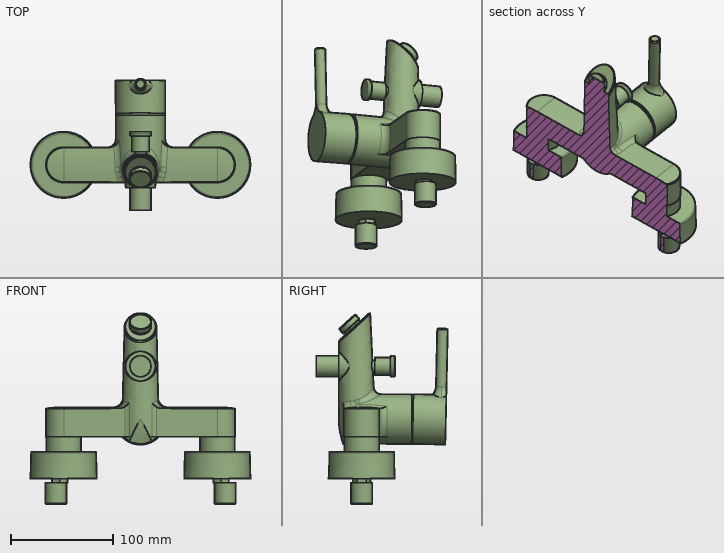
import cadquery as cq
import math


inlet_spacing = 150.0
pipe_dia = 34.3
flange_top_dia = 63.6
flange_dia = 64.95
flange_top_z = -31.7
flange_bottom_z = -58.2
flange_edge = 1.2
union_offset = 7.5
union_dia = 21.0
union_top_z = -62.1
union_bottom_z = -83.0
union_edge = 0.8
union_hex_across = 15.2

bar_width = 34.7
bar_edge = 0.6
bar_edge_stop_x = 30.0
bar_top_z = 10.4
bar_bottom_z = -17.5
bar_crown = 1.2

body_dia = 48.8
body_front_y = -14.0
body_front_round = 12.0
handle_gap_front_y = 48.6
handle_gap_back_y = 50.1
handle_gap_depth = 0.8
handle_back_y = 82.2
handle_tilt = 1.25

lever_dia = 10.6
lever_y = 76.9
lever_top_z = 89.0
lever_edge = 1.2
lever_flare_dia = 25.0
lever_flare_top_z = 32.0
lever_flare_waist_z = 26.0
lever_flare_waist_growth = 1.8

tower_front_y = -22.6
tower_base_dia = 35.8
tower_top_dia = 31.0
tower_top_z = 104.2
tower_front_top_z = 76.0
tower_toe_y = -18.0
tower_toe_bulge = 1.2
core_blend = 7.0
tower_rim = 1.1

button_dia = 21.5
button_neck_dia = 19.0
button_neck_height = 2.5
button_height = 8.4
button_edge = 0.5
button_shift = 2.0

spout_z = 51.5
spout_dia = 20.6
spout_tip_y = -44.5
collar_dia = 29.0
collar_back_y = -10.0
collar_back_dia = 31.4
knob_stem_dia = 11.5
knob_dia = 17.4
knob_rim_dia = 20.9
knob_front_y = 12.9
knob_rim_y = 28.0
knob_back_y = 32.5
knob_edge = 1.5

overlap = 1.0
pick_margin = 0.5

body_radius = body_dia / 2
tower_top_back_y = tower_front_y + tower_top_dia


def cylinder_z(x, y, z_low, z_high, dia):
    return cq.Workplane("XY").center(x, y).workplane(offset=z_low).circle(dia / 2).extrude(z_high - z_low)


def cylinder_y(z, y_front, y_back, dia):
    plane = cq.Plane(origin=(0, y_back, z), xDir=(1, 0, 0), normal=(0, -1, 0))
    return cq.Workplane(plane).circle(dia / 2).extrude(y_back - y_front)


def make_bar():
    crown_z = bar_top_z + bar_crown
    radius = bar_width / 2
    crown_arc_radius = (radius**2 + bar_crown**2) / (2 * bar_crown)
    bulge_drop = crown_arc_radius - math.sqrt(crown_arc_radius**2 - (radius / 2) ** 2)
    bulge = (radius / 2, crown_z - bulge_drop)
    bar = (
        cq.Workplane("YZ", origin=(-inlet_spacing / 2, 0, 0))
        .moveTo(-radius, bar_bottom_z)
        .lineTo(-radius, bar_top_z)
        .threePointArc((0, crown_z), (radius, bar_top_z))
        .lineTo(radius, bar_bottom_z)
        .close()
        .extrude(inlet_spacing)
    )
    for side in (-1, 1):
        end = (
            cq.Workplane("XZ", origin=(side * inlet_spacing / 2, 0, 0))
            .moveTo(0, bar_bottom_z)
            .lineTo(radius, bar_bottom_z)
            .lineTo(radius, bar_top_z)
            .threePointArc(bulge, (0, crown_z))
            .close()
            .revolve(360, (0, 0, 0), (0, 1, 0))
        )
        bar = bar.union(end)
    return bar


def bar_edge_break(side):
    radius = bar_width / 2
    inlet_x = side * inlet_spacing / 2
    bevel = [
        (radius + bar_edge, bar_top_z - 2 * bar_edge),
        (radius + bar_edge, bar_top_z + bar_edge),
        (radius - 2 * bar_edge, bar_top_z + bar_edge),
    ]
    run = cq.Workplane("YZ", origin=(inlet_x, 0, 0)).polyline(bevel).close()
    run = run.extrude(side * (bar_edge_stop_x - inlet_spacing / 2))
    around_end = (
        cq.Workplane("YZ", origin=(inlet_x, 0, 0))
        .polyline(bevel)
        .close()
        .revolve(180, (0, 0, 0), (0, -side, 0))
    )
    return run.union(run.mirror("XZ")).union(around_end)


def make_tower():
    def ring(z):
        dia = tower_base_dia + (tower_top_dia - tower_base_dia) * z / tower_top_z
        return cq.Workplane("XY", origin=(0, tower_front_y + dia / 2, z)).circle(dia / 2).wires().val()

    low = -body_radius - overlap
    tower = cq.Workplane(cq.Solid.makeLoft([ring(low), ring(tower_top_z + overlap)], True))
    side = (
        cq.Workplane("YZ", origin=(-body_dia, 0, 0))
        .moveTo(tower_front_y, tower_front_top_z)
        .lineTo(tower_top_back_y, tower_top_z)
        .lineTo(body_dia, tower_top_z)
        .lineTo(body_dia, -body_radius)
        .lineTo(tower_toe_y, -body_radius)
        .threePointArc((tower_front_y + tower_toe_bulge, -body_radius / 2), (tower_front_y, 0))
        .close()
        .extrude(2 * body_dia)
    )
    front = (
        cq.Workplane("XZ", origin=(0, body_dia, 0))
        .moveTo(-body_radius, tower_top_z)
        .lineTo(-body_radius, 0)
        .threePointArc((0, -body_radius), (body_radius, 0))
        .lineTo(body_radius, tower_top_z)
        .close()
        .extrude(2 * body_dia)
    )
    return tower.intersect(side).intersect(front)


def make_core():
    body = cylinder_y(0, body_front_y, handle_gap_front_y, body_dia)
    body = body.faces("<Y").edges().fillet(body_front_round)
    core = make_bar().union(body).union(make_tower())
    reach = body_radius + pick_margin
    face_y = bar_width / 2
    upper_joint = cq.selectors.BoxSelector(
        (-reach, tower_front_y - pick_margin, bar_top_z - pick_margin), (reach, body_radius, 2 * body_radius)
    )
    back_joint = cq.selectors.BoxSelector(
        (-reach, face_y - pick_margin, bar_bottom_z + pick_margin), (reach, face_y + pick_margin, bar_top_z)
    )
    front_joint = cq.selectors.BoxSelector(
        (-reach, -face_y - pick_margin, bar_bottom_z + pick_margin), (reach, -face_y + pick_margin, bar_top_z)
    )
    joints = core.edges(upper_joint + back_joint + front_joint)
    core = joints.fillet(core_blend)
    for side in (-1, 1):
        core = core.cut(bar_edge_break(side))
    slanted_top = core.faces(cq.selectors.DirectionMinMaxSelector(cq.Vector(0, -1, 1), True))
    return slanted_top.edges().chamfer(tower_rim)


def make_button():
    drop = tower_top_z - tower_front_top_z
    run = tower_top_back_y - tower_front_y
    slope = math.hypot(drop, run)
    middle = slope / 2 + button_shift
    plane = cq.Plane(
        origin=(0, tower_top_back_y - middle * run / slope, tower_top_z - middle * drop / slope),
        xDir=(1, 0, 0),
        normal=(0, -drop / slope, run / slope),
    )
    neck = (
        cq.Workplane(plane)
        .workplane(offset=-overlap)
        .circle(button_neck_dia / 2)
        .extrude(button_neck_height + 2 * overlap)
    )
    cap = (
        cq.Workplane(plane)
        .workplane(offset=button_neck_height)
        .circle(button_dia / 2)
        .extrude(button_height - button_neck_height)
        .faces(">Z")
        .edges()
        .chamfer(button_edge)
    )
    return neck.union(cap)


def make_spout():
    collar = (
        cq.Workplane("XZ", origin=(0, tower_front_y, spout_z))
        .circle(collar_dia / 2)
        .workplane(offset=tower_front_y - collar_back_y)
        .circle(collar_back_dia / 2)
        .loft(ruled=True)
    )
    return collar.union(cylinder_y(spout_z, spout_tip_y, collar_back_y, spout_dia))


def make_knob():
    stem = cylinder_y(spout_z, 0, knob_rim_y, knob_stem_dia)
    grip = cylinder_y(spout_z, knob_front_y, knob_rim_y + overlap, knob_dia)
    rim = cylinder_y(spout_z, knob_rim_y, knob_back_y, knob_rim_dia).edges().fillet(knob_edge)
    return stem.union(grip).union(rim)


def make_lever_flare():
    foot_radius = lever_flare_dia / 2
    waist_radius = lever_dia / 2 + lever_flare_waist_growth
    foot_z = math.sqrt(body_radius**2 - foot_radius**2)
    flare = (
        cq.Workplane("XZ", origin=(0, lever_y, 0))
        .lineTo(0, lever_flare_top_z)
        .lineTo(lever_dia / 2, lever_flare_top_z)
        .threePointArc((waist_radius, lever_flare_waist_z), (foot_radius, foot_z))
        .lineTo(foot_radius, 0)
        .close()
        .revolve(360, (0, 0, 0), (0, 1, 0))
    )
    return flare.intersect(cylinder_y(0, handle_gap_back_y, handle_back_y, 4 * body_dia))


def make_handle():
    barrel = cylinder_y(0, handle_gap_back_y, handle_back_y, body_dia)
    lever = cylinder_z(0, lever_y, 0, lever_top_z, lever_dia)
    handle = barrel.union(lever)
    handle = handle.union(make_lever_flare())
    handle = handle.faces(">Z").edges().chamfer(lever_edge)
    handle = handle.rotate((0, handle_gap_back_y, 0), (1, handle_gap_back_y, 0), -handle_tilt)
    spindle_back_y = handle_gap_back_y + 2 * overlap
    spindle = cylinder_y(0, handle_gap_front_y - overlap, spindle_back_y, body_dia - 2 * handle_gap_depth)
    return handle.union(spindle)


def make_inlet(side):
    x = side * inlet_spacing / 2
    union_x = x + side * union_offset
    neck_x = (x + union_x) / 2
    pipe = cylinder_z(x, 0, flange_top_z - overlap, bar_bottom_z + overlap, pipe_dia)
    flange = (
        cq.Workplane("XY", origin=(x, 0, flange_bottom_z))
        .circle(flange_dia / 2)
        .workplane(offset=flange_top_z - flange_bottom_z)
        .circle(flange_top_dia / 2)
        .loft(ruled=True)
        .faces(">Z")
        .edges()
        .fillet(flange_edge)
    )
    neck = (
        cq.Workplane("XY", origin=(neck_x, 0, union_top_z))
        .polygon(6, union_hex_across, circumscribed=True)
        .extrude(flange_bottom_z - union_top_z + overlap)
    )
    nut = cylinder_z(union_x, 0, union_bottom_z, union_top_z, union_dia)
    nut = nut.faces("<Z").edges().chamfer(union_edge)
    return pipe.union(flange).union(neck).union(nut)


result = make_core().union(make_button()).union(make_spout()).union(make_knob()).union(make_handle())
for inlet_side in (-1, 1):
    result = result.union(make_inlet(inlet_side))